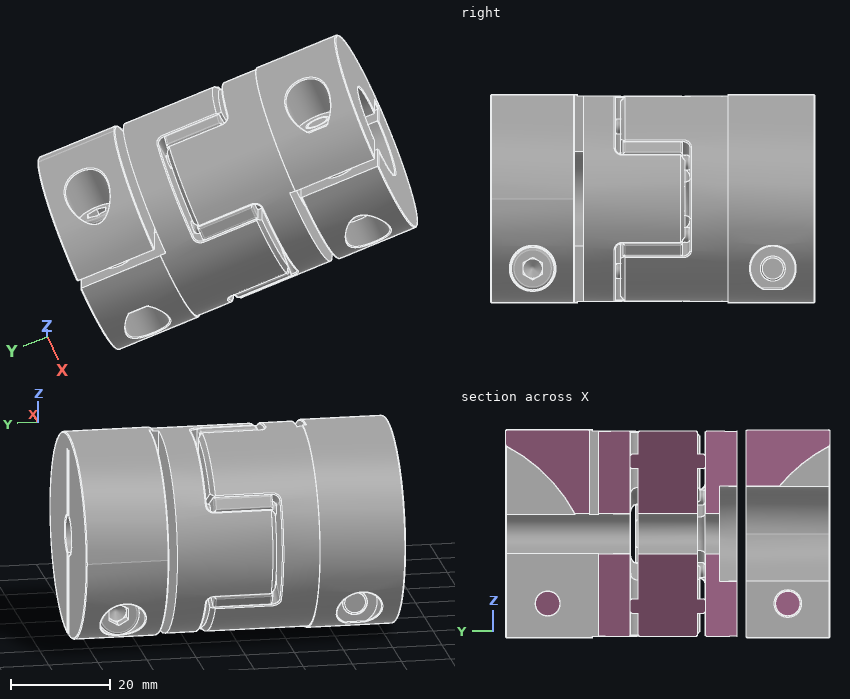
import cadquery as cq
import math


length = 65.0
half_length = length / 2
tolerance = 0.005
clamp_radius = 41.7 / 2
body_radius = 41.2 / 2
pilot_bore = 8.0
front_bore = 19.0
front_bore_end = 10.4
body_face = 7.5
edge_chamfer = 0.2

cross_slot_middle = 14.79
cross_slot_width = 1.75
slot_width = 1.7
slot_top = 17.6
saw_radius = 32.5
clamp_step = 15.1

jaw_count = 3
jaw_pitch = 360 / jaw_count
jaw_inner_radius = 18.8 / 2
jaw_tip = 6.45
jaw_gap = 3.05
jaw_chamfer = 0.9
jaw_edge_chamfer = 0.25
root_fillet = 1.5

leg_count = 2 * jaw_count
leg_pitch = 360 / leg_count
leg_width = 3.0
leg_half_length = 6.0
leg_fillet = 0.42
stud_diameter = 3.0
stud_circle_radius = 14.5
stud_end = body_face
stud_fillet = 0.3

screw_y = 24.05
screw_z = -14.0
thread_diameter = 5.0
clearance_diameter = 5.5
tip_diameter = 4.2
counterbore_diameter = 9.0
seat_x = 5.5
spotface_x = 10.4
head_diameter = 8.5
head_height = 5.0
head_fillet = 0.5
hex_sides = 6
hex_across_flats = 3.9
hex_depth = 2.3
drill_point_depth = 1.3


def disc(radius, y_start, y_end):
    """Cylinder on the Y axis."""
    return cq.Workplane("XZ", origin=(0, y_end, 0)).circle(radius).extrude(y_end - y_start)


def about_y(shape, angle):
    """Turn a shape from the +X direction by an angle measured from +X towards +Z."""
    return shape.rotate((0, 0, 0), (0, 1, 0), -angle)


def rod_x(diameter, x_start, x_end):
    """Cylinder along X on the axis of the front hub's screw."""
    plane = cq.Workplane("YZ", origin=(x_start, -screw_y, screw_z))
    return plane.circle(diameter / 2).extrude(x_end - x_start)


def outside_edges(body, radius, y_start, y_end):
    """Edges that lie on an outer cylinder, start no lower than y_start and stop short of y_end."""
    found = []
    for edge in body.edges().vals():
        points = [edge.positionAt(step / 4) for step in range(5)]
        on_cylinder = all(abs(math.hypot(p.x, p.z) - radius) < tolerance for p in points)
        in_range = edge.BoundingBox().ymin > y_start - tolerance and edge.Center().y < y_end - tolerance
        if on_cylinder and in_range:
            found.append(edge)
    return found


def make_jaw_gap():
    """Space for an opposite jaw and its two legs, centred on -X, with rounded floor edges."""
    half_angle = math.radians(leg_pitch / 2)
    apex = jaw_gap / 2 / math.sin(half_angle)
    reach = 2 * body_radius
    half_spread = (reach + apex) * math.tan(half_angle)
    return (
        cq.Workplane("XZ", origin=(0, jaw_tip, 0))
        .polyline([(apex, 0), (-reach, -half_spread), (-reach, half_spread)])
        .close()
        .extrude(jaw_tip + body_face)
        .faces("<Y").edges("not |Z").fillet(root_fillet)
    )


def make_jawed_body():
    """Body with three jaws, one centred on +X, around a round recess."""
    recess = disc(jaw_inner_radius, -body_face, jaw_tip).faces("<Y").edges().fillet(root_fillet)
    body = disc(body_radius, -clamp_step, jaw_tip).cut(recess)
    gap = make_jaw_gap()
    for index in range(jaw_count):
        body = body.cut(about_y(gap, index * jaw_pitch))
    tips = body.faces(">Y")
    outer_arcs = tips.edges("%CIRCLE").edges(cq.selectors.RadiusNthSelector(-1))
    sides = tips.edges("%LINE")
    body = body.newObject(outer_arcs.vals() + sides.vals()).chamfer(jaw_chamfer)
    gap_outline = outside_edges(body, body_radius, -body_face, jaw_tip - jaw_chamfer)
    return body.newObject(gap_outline).chamfer(jaw_edge_chamfer)


def make_cross_slot():
    """Slot behind the clamp, open on the +X side."""
    size = 2 * clamp_radius
    start = (-slot_width / 2, -cross_slot_middle, 0)
    return (
        cq.Workplane("XY", origin=start)
        .box(size, cross_slot_width, size, centered=(False, True, True))
    )


def make_saw_cut():
    """Slit through the bottom and the bore, ending in the upper wall on the saw's arc."""
    arc_y = -cross_slot_middle - saw_radius
    run = -half_length - arc_y
    arc_z = slot_top - math.sqrt(saw_radius**2 - run**2)
    mid_angle = math.atan2(slot_top - arc_z, run) / 2
    mid_point = (
        arc_y + saw_radius * math.cos(mid_angle),
        arc_z + saw_radius * math.sin(mid_angle),
    )
    return (
        cq.Workplane("YZ")
        .moveTo(-half_length, slot_top)
        .threePointArc(mid_point, (-cross_slot_middle, arc_z))
        .lineTo(-cross_slot_middle, -2 * clamp_radius)
        .lineTo(-half_length, -2 * clamp_radius)
        .close()
        .extrude(slot_width / 2, both=True)
    )


def make_hub():
    """Front hub: end face at -Y, screw head on the +X side."""
    clamp = disc(clamp_radius, -half_length, -clamp_step)
    hub = clamp.union(make_jawed_body())
    hub = hub.cut(disc(pilot_bore / 2, -half_length, -body_face))
    hub = hub.cut(make_cross_slot())
    clamp_back = -cross_slot_middle - cross_slot_width / 2
    slot_rim = outside_edges(hub, clamp_radius, clamp_back, clamp_back + edge_chamfer)
    hub = hub.newObject(slot_rim).chamfer(edge_chamfer)

    hub = hub.cut(rod_x(counterbore_diameter, seat_x, clamp_radius))
    hub = hub.cut(rod_x(counterbore_diameter, -clamp_radius, -spotface_x))
    mouths = outside_edges(hub, clamp_radius, -half_length + edge_chamfer, clamp_back - edge_chamfer)
    hub = hub.newObject(mouths).chamfer(edge_chamfer)

    hub = hub.cut(rod_x(clearance_diameter, 0, seat_x))
    hub = hub.cut(rod_x(thread_diameter, -spotface_x, 0))

    stud_pocket = (
        cq.Workplane("XZ", origin=(stud_circle_radius, 0, 0))
        .circle(stud_diameter / 2)
        .extrude(stud_end)
    )
    for index in range(leg_count):
        hub = hub.cut(about_y(stud_pocket, (index + 0.5) * leg_pitch))
    return hub


def finish_bore(hub, bore, bore_end):
    """Open the bore from the end face, then cut the clamp slit and break the end face's edges."""
    hub = hub.cut(disc(bore / 2, -half_length, -bore_end)).cut(make_saw_cut())
    return hub.faces("<Y").edges().chamfer(edge_chamfer)


def make_screw():
    """Socket-head screw of the front hub."""
    head_face = seat_x + head_height
    head = rod_x(head_diameter, seat_x, head_face).faces(">X").edges().fillet(head_fillet)
    tip_chamfer = (thread_diameter - tip_diameter) / 2
    shank = rod_x(thread_diameter, -spotface_x, seat_x).faces("<X").chamfer(tip_chamfer)

    corner_diameter = hex_across_flats / math.cos(math.pi / hex_sides)
    socket = (
        cq.Workplane("YZ", origin=(head_face - hex_depth, -screw_y, screw_z))
        .transformed(rotate=(0, 0, 90))
        .polygon(hex_sides, corner_diameter)
        .extrude(hex_depth)
    )
    drill_point = cq.Workplane(cq.Solid.makeCone(
        0, hex_across_flats / 2, drill_point_depth,
        pnt=(head_face - hex_depth - drill_point_depth, -screw_y, screw_z), dir=(1, 0, 0),
    ))
    return head.union(shank).cut(socket).cut(drill_point)


def make_spider():
    """Core with six rounded legs, each leg carrying a stud at both ends."""
    core = disc(jaw_inner_radius, -leg_half_length, leg_half_length)
    leg = (
        cq.Workplane("XY")
        .box(body_radius, 2 * leg_half_length, leg_width, centered=(False, True, True))
        .faces(">X").edges().fillet(leg_fillet)
    )
    stud = (
        cq.Workplane("XZ", origin=(stud_circle_radius, stud_end, 0))
        .circle(stud_diameter / 2)
        .extrude(2 * stud_end)
        .faces("<Y or >Y").edges().fillet(stud_fillet)
    )
    leg = leg.union(stud)
    for index in range(leg_count):
        core = core.union(about_y(leg, (index + 0.5) * leg_pitch))
    return core.cut(disc(pilot_bore / 2, -leg_half_length, leg_half_length))


def turned_to_rear(shape):
    """Half a turn about Z carries a front body to the rear end."""
    return shape.rotate((0, 0, 0), (0, 0, 1), 180)


front_hub = finish_bore(make_hub(), front_bore, front_bore_end)
rear_hub = turned_to_rear(finish_bore(make_hub(), pilot_bore, body_face))
spider = make_spider()
front_screw = make_screw()
screws = [front_screw, turned_to_rear(front_screw)]

result = cq.Compound.makeCompound(
    [front_hub.val(), rear_hub.val(), spider.val()] + [screw.val() for screw in screws]
)